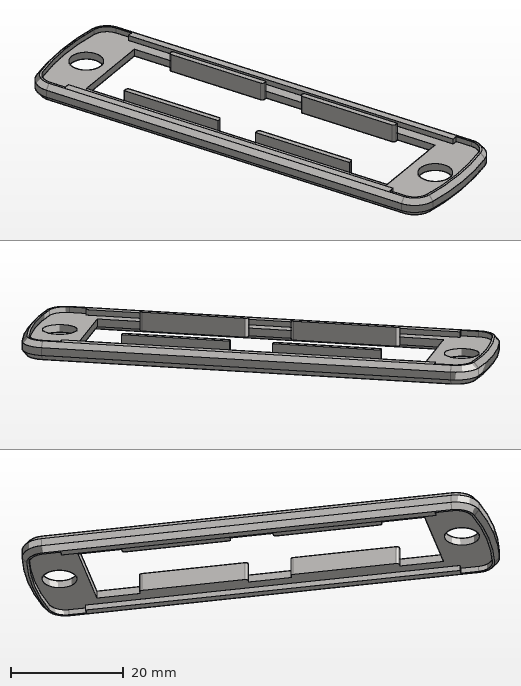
import cadquery as cq

length = 84.4
width = 24.6
end_bow = 1.6
corner_radius = 4.4

frame_height = 3.5
plate_bottom = 1.0
plate_top = 2.45
tab_top = 4.5

chamfer_height = 1.0
chamfer_inset = 0.85

rim_width = 1.3
ledge_width = 2.3
ledge_length = 67.85

window_length = 62.8
window_width = 16.0
hole_diameter = 6.2
hole_spacing = 72.9

tab_length = 19.7
tab_thickness = 1.0
tab_corner_radius = 0.5
tab_spacing = 27.4


def outline_prism(inset, bottom, top):
    """Solid over the frame outline, moved inward by inset, between two heights."""
    half_width = width / 2 - inset
    half_chord = width / 2
    bow_radius = (half_chord**2 + end_bow**2) / (2 * end_bow) - inset
    end_x = length / 2 - inset
    corner_x = end_x - bow_radius + (bow_radius**2 - half_width**2) ** 0.5
    return (
        cq.Workplane("XY", origin=(0, 0, bottom))
        .moveTo(-corner_x, -half_width)
        .lineTo(corner_x, -half_width)
        .threePointArc((end_x, 0), (corner_x, half_width))
        .lineTo(-corner_x, half_width)
        .threePointArc((-end_x, 0), (-corner_x, -half_width))
        .close()
        .extrude(top - bottom)
        .edges("|Z")
        .fillet(corner_radius - inset)
    )


def frame_blank():
    """Full-height frame with its outer top and bottom edges chamfered."""
    blank = outline_prism(0, 0, frame_height)
    return blank.faces("<Z or >Z").chamfer(chamfer_height, chamfer_inset)


def recess(bottom, top):
    """Recess volume inside the rim, narrowed by the ledges on the long sides."""
    pocket = outline_prism(rim_width, bottom, top)
    ledge_y = width / 2 - ledge_width
    for side in (-1, 1):
        ledge = (
            cq.Workplane("XY", origin=(0, side * (ledge_y + ledge_width / 2), bottom))
            .rect(ledge_length, ledge_width)
            .extrude(top - bottom)
        )
        pocket = pocket.cut(ledge)
    return pocket


def openings():
    """Central window and the two end holes, through the full height."""
    window = cq.Workplane("XY").rect(window_length, window_width).extrude(frame_height)
    holes = (
        cq.Workplane("XY")
        .pushPoints([(-hole_spacing / 2, 0), (hole_spacing / 2, 0)])
        .circle(hole_diameter / 2)
        .extrude(frame_height)
    )
    return window.union(holes)


def tab(center_x, side):
    """Upright tab on the window wall at +Y (side 1) or -Y (side -1), inner corners rounded."""
    center_y = side * (window_width - tab_thickness) / 2
    inner_face = "<Y" if side > 0 else ">Y"
    return (
        cq.Workplane("XY", origin=(center_x, center_y, plate_bottom))
        .rect(tab_length, tab_thickness)
        .extrude(tab_top - plate_bottom)
        .faces(inner_face)
        .edges("|Z")
        .fillet(tab_corner_radius)
    )


result = (
    frame_blank()
    .cut(recess(plate_top, frame_height))
    .cut(recess(0, plate_bottom))
    .cut(openings())
)

for tab_x in (-tab_spacing / 2, tab_spacing / 2):
    for wall_side in (-1, 1):
        result = result.union(tab(tab_x, wall_side))